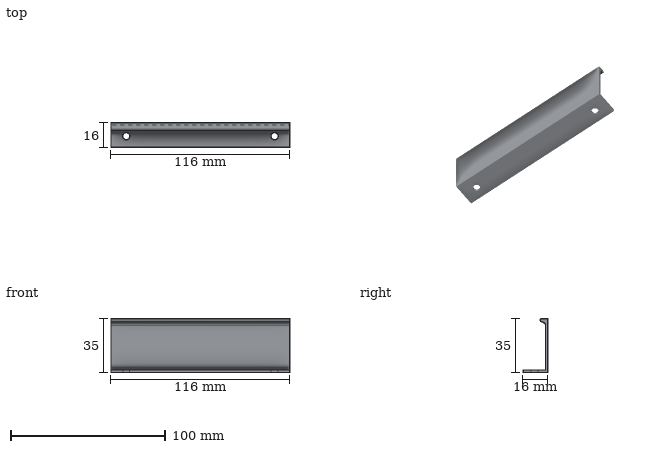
import cadquery as cq
import math

length = 116
depth = 16.0
height = 35.0

wall_thickness = 1.5
base_thickness = 1.7

lip_depth = 5.0
nose_radius = 1.0
underside_angle = math.radians(25)
cove_radius = 2.0

hole_diameter = 4.5
hole_spacing = 96.0
hole_from_back = 8.7


def make_profile_bar():
    """Extrude the angle section; Y = 0 is the back face and -Y the front."""
    nose_center_depth = lip_depth - nose_radius
    nose_center_height = height - nose_radius
    nose_end_depth = nose_center_depth + nose_radius * math.sin(underside_angle)
    nose_end_height = nose_center_height - nose_radius * math.cos(underside_angle)

    corner_drop = (nose_end_depth - wall_thickness) * math.tan(underside_angle)
    corner_height = nose_end_height - corner_drop
    tangent_length = cove_radius * math.tan((math.pi / 2 - underside_angle) / 2)
    cove_top_depth = wall_thickness + tangent_length * math.cos(underside_angle)
    cove_top_height = corner_height + tangent_length * math.sin(underside_angle)
    cove_bottom_height = corner_height - tangent_length

    section = (
        cq.Workplane("YZ")
        .moveTo(0, 0)
        .lineTo(0, height)
        .lineTo(-nose_center_depth, height)
        .threePointArc((-lip_depth, nose_center_height), (-nose_end_depth, nose_end_height))
        .lineTo(-cove_top_depth, cove_top_height)
        .radiusArc((-wall_thickness, cove_bottom_height), cove_radius)
        .lineTo(-wall_thickness, base_thickness)
        .lineTo(-depth, base_thickness)
        .lineTo(-depth, 0)
        .close()
    )
    return section.extrude(length / 2, both=True)


def make_screw_holes():
    """Two cylinders placed symmetrically along the base."""
    return (
        cq.Workplane("XY")
        .pushPoints([(side * hole_spacing / 2, -hole_from_back) for side in (-1, 1)])
        .circle(hole_diameter / 2)
        .extrude(base_thickness)
    )


result = make_profile_bar().cut(make_screw_holes())